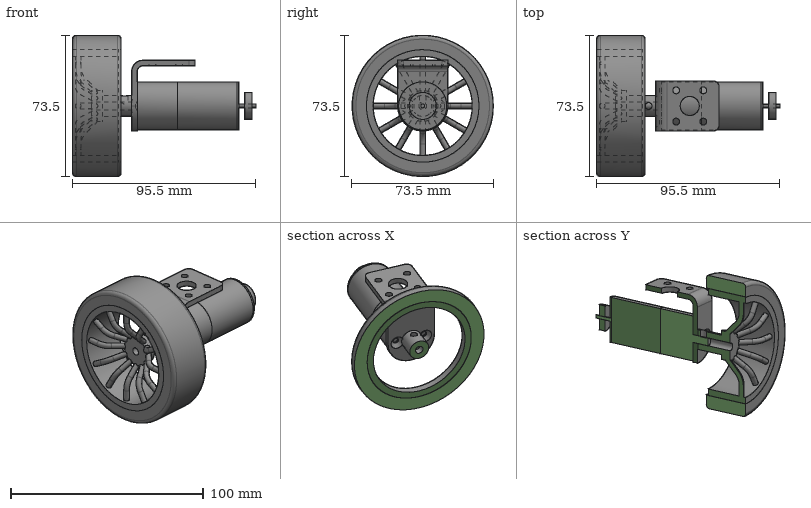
import cadquery as cq
import math


tire_diameter = 73.5
rim_diameter = 58.5
rim_bore = 51.5
tire_width = 25.3
rim_width = 24.0
tire_fillet = 2.0

hub_face_x = 9.8
hub_diameter = 16.0
hub_thickness = 5.7
boss_diameter = 11.0
set_screw_diameter = 3.5
set_screw_x = 27.1

spoke_count = 12
spoke_diameter = 3.0
spoke_slant = 45.0
spoke_outer_x = 3.0
spoke_corner_radius = 16.1
spoke_bend_radius = 9.1
spoke_root_radius = 6.2

bracket_x = 30.75
bracket_thickness = 3.0
bracket_width = 26.2
bracket_top_z = 23.8
bracket_end_x = 63.8
bracket_bend_radius = 5.9
flange_corner_radius = 3.15
flange_center_x = 48.5
flange_bore = 9.9
flange_hole_diameter = 3.5
flange_hole_pitch_x = 14.1
flange_hole_pitch_y = 16.2
screw_hole_diameter = 3.0
countersink_diameter = 7.0
countersink_angle = 90.0
screw_hole_offset = 7.9

output_shaft_diameter = 4.0
output_shaft_start_x = 23.9
motor_diameter = 25.0
gearbox_x = bracket_x + bracket_thickness
motor_x = 54.5
cap_x = 85.6
cap_thickness = 1.0
rear_shaft_diameter = 2.0
rear_shaft_end_x = 95.5
disc_diameter = 14.0
disc_x = 89.6
disc_thickness = 3.8


def axial_cylinder(diameter, start_x, end_x):
    """Cylinder on the drive axis between two X positions."""
    return cq.Workplane("YZ", origin=(start_x, 0, 0)).circle(diameter / 2).extrude(end_x - start_x)


def make_tire():
    tire = axial_cylinder(tire_diameter, 0, tire_width).edges().fillet(tire_fillet)
    return tire.cut(axial_cylinder(rim_diameter, 0, tire_width))


def make_spoke():
    """One spoke in the XZ plane, pointing up, swept along its bent centre line."""
    slant = math.radians(spoke_slant)
    tangent_length = spoke_bend_radius * math.tan(slant / 2)
    root_x = spoke_outer_x + (spoke_corner_radius - spoke_root_radius) * math.tan(slant)
    bend_start = (
        spoke_outer_x + tangent_length * math.sin(slant),
        spoke_corner_radius - tangent_length * math.cos(slant),
    )
    bend_end = (spoke_outer_x, spoke_corner_radius + tangent_length)
    rim_middle_radius = (rim_bore + rim_diameter) / 4
    tip = (spoke_outer_x, rim_middle_radius)
    slant_direction = (-math.sin(slant), math.cos(slant))
    path = (
        cq.Workplane("XZ")
        .moveTo(root_x, spoke_root_radius)
        .lineTo(*bend_start)
        .tangentArcPoint(bend_end, relative=False)
        .lineTo(*tip)
    )
    root_plane = cq.Plane(
        origin=(root_x, 0, spoke_root_radius),
        xDir=(0, 1, 0),
        normal=(slant_direction[0], 0, slant_direction[1]),
    )
    return cq.Workplane(root_plane).circle(spoke_diameter / 2).sweep(path)


def make_wheel():
    """Rim, spokes, hub and boss as one piece, bored for the output shaft."""
    wheel = axial_cylinder(rim_diameter, 0, rim_width)
    wheel = wheel.cut(axial_cylinder(rim_bore, 0, rim_width))
    spoke = make_spoke()
    for index in range(spoke_count):
        wheel = wheel.union(spoke.rotate((0, 0, 0), (1, 0, 0), index * 360 / spoke_count))
    wheel = wheel.union(axial_cylinder(hub_diameter, hub_face_x, hub_face_x + hub_thickness))
    wheel = wheel.union(axial_cylinder(boss_diameter, hub_face_x + hub_thickness, bracket_x))
    wheel = wheel.cut(axial_cylinder(output_shaft_diameter, hub_face_x, bracket_x))
    set_screw_hole = (
        cq.Workplane("XY").center(set_screw_x, 0).circle(set_screw_diameter / 2).extrude(boss_diameter)
    )
    return wheel.cut(set_screw_hole)


def make_bracket():
    """Bent plate: an upright with two countersunk holes and a drilled flange."""
    half_width = bracket_width / 2
    inner_bend_radius = bracket_bend_radius - bracket_thickness
    profile = (
        cq.Workplane("XZ", origin=(0, half_width, 0))
        .moveTo(bracket_x, -half_width)
        .lineTo(bracket_x, bracket_top_z - bracket_bend_radius)
        .tangentArcPoint((bracket_bend_radius, bracket_bend_radius))
        .lineTo(bracket_end_x, bracket_top_z)
        .lineTo(bracket_end_x, bracket_top_z - bracket_thickness)
        .lineTo(bracket_x + bracket_bend_radius, bracket_top_z - bracket_thickness)
        .tangentArcPoint((-inner_bend_radius, -inner_bend_radius))
        .lineTo(gearbox_x, -half_width)
        .close()
    )
    bracket = profile.extrude(bracket_width)
    bracket = bracket.edges("|Z and >X").fillet(flange_corner_radius)

    below_axis = cq.Workplane("XY").rect(2 * bracket_end_x, bracket_width).extrude(-half_width)
    round_end = axial_cylinder(bracket_width, bracket_x, gearbox_x)
    bracket = bracket.cut(below_axis.cut(round_end))

    bracket = bracket.cut(axial_cylinder(output_shaft_diameter, bracket_x, gearbox_x))
    bracket = (
        bracket.faces("<X")
        .workplane(origin=(bracket_x, 0, 0))
        .pushPoints([(-screw_hole_offset, 0), (screw_hole_offset, 0)])
        .cskHole(screw_hole_diameter, countersink_diameter, countersink_angle, depth=bracket_thickness)
    )

    flange = cq.Workplane("XY", origin=(flange_center_x, 0, bracket_top_z))
    flange_holes = (
        flange.rect(flange_hole_pitch_x, flange_hole_pitch_y, forConstruction=True)
        .vertices()
        .circle(flange_hole_diameter / 2)
        .extrude(-bracket_thickness)
    )
    flange_opening = flange.circle(flange_bore / 2).extrude(-bracket_thickness)
    return bracket.cut(flange_holes).cut(flange_opening)


def make_gearbox():
    """Gearbox housing together with its output shaft."""
    housing = axial_cylinder(motor_diameter, gearbox_x, motor_x)
    return housing.union(axial_cylinder(output_shaft_diameter, output_shaft_start_x, gearbox_x))


def make_motor():
    return axial_cylinder(motor_diameter, motor_x, cap_x)


def make_end_cap():
    cap_end_x = cap_x + cap_thickness
    cap = axial_cylinder(motor_diameter, cap_x, cap_end_x)
    return cap.cut(axial_cylinder(rear_shaft_diameter, cap_x, cap_end_x))


def make_rear_shaft():
    return axial_cylinder(rear_shaft_diameter, cap_x, rear_shaft_end_x)


def make_disc():
    disc_end_x = disc_x + disc_thickness
    disc = axial_cylinder(disc_diameter, disc_x, disc_end_x)
    return disc.cut(axial_cylinder(rear_shaft_diameter, disc_x, disc_end_x))


tire = make_tire()
wheel = make_wheel()
bracket = make_bracket()
gearbox = make_gearbox()
motor = make_motor()
end_cap = make_end_cap()
rear_shaft = make_rear_shaft()
disc = make_disc()

result = cq.Compound.makeCompound(
    [
        tire.val(),
        wheel.val(),
        bracket.val(),
        gearbox.val(),
        motor.val(),
        end_cap.val(),
        rear_shaft.val(),
        disc.val(),
    ]
)